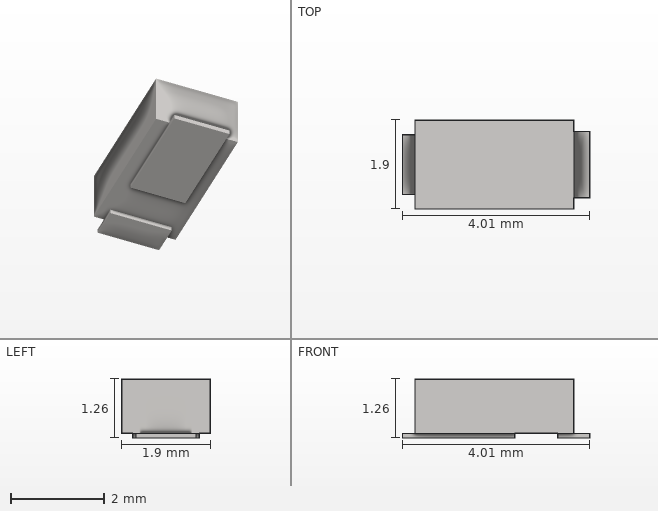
import cadquery as cq

total_length = 4.01
total_height = 1.26

body_length = 3.4
body_width = 1.9
body_overhang = 0.27

lead_thickness = 0.1
long_lead_length = 2.405
long_lead_width = 1.28
short_lead_length = 0.685
short_lead_width = 1.428

left_end = -total_length / 2
right_end = total_length / 2
body_height = total_height - lead_thickness


def block(x_start, length, width, z_start, height):
    """Box starting at x_start and z_start, centred on Y."""
    return cq.Workplane("XY").box(length, width, height, centered=(False, True, False)).translate(
        (x_start, 0, z_start)
    )


def make_body():
    """Plain rectangular package resting on the leads."""
    return block(left_end + body_overhang, body_length, body_width, lead_thickness, body_height)


def make_lead(x_start, length, width):
    """Flat plate that touches the underside of the body."""
    return block(x_start, length, width, 0, lead_thickness)


body = make_body()
long_lead = make_lead(left_end, long_lead_length, long_lead_width)
short_lead = make_lead(right_end - short_lead_length, short_lead_length, short_lead_width)

result = cq.Compound.makeCompound([body.val(), long_lead.val(), short_lead.val()])